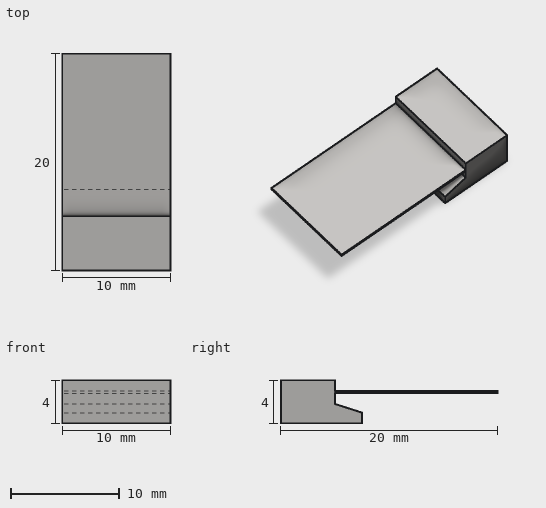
import cadquery as cq

width = 10.0
length = 20.0
height = 4.0

block_depth = 5.0
foot_depth = 7.5
foot_tip_height = 1.0
foot_root_height = 1.8

plate_thickness = 0.2
plate_top = 3.0


def make_block():
    """Block and foot: a side profile in Y and Z, extruded along X."""
    profile = [
        (0, 0),
        (foot_depth, 0),
        (foot_depth, foot_tip_height),
        (block_depth, foot_root_height),
        (block_depth, height),
        (0, height),
    ]
    return cq.Workplane("YZ").polyline(profile).close().extrude(width / 2, both=True)


def make_plate():
    """Full-width plate from the back face of the block to the far end."""
    return (
        cq.Workplane("XY")
        .workplane(offset=plate_top - plate_thickness)
        .center(0, (block_depth + length) / 2)
        .rect(width, length - block_depth)
        .extrude(plate_thickness)
    )


result = make_block().union(make_plate())